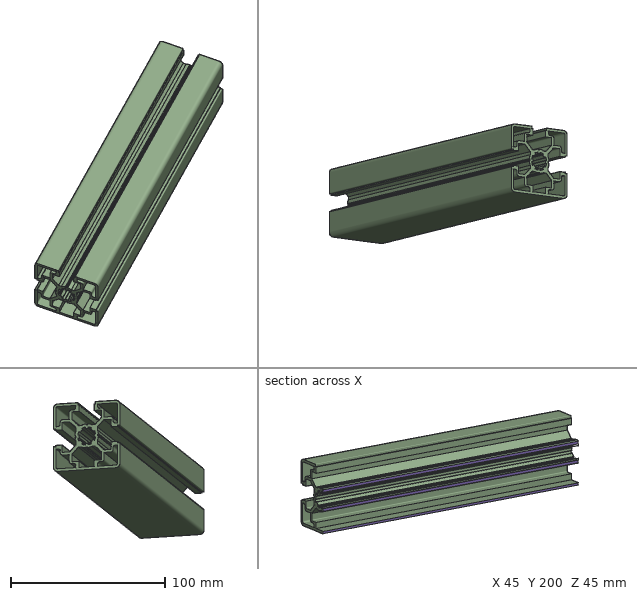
import cadquery as cq
import math

length = 200.0
width = 45.0
half = width / 2
corner_radius = 3.0

skin = 1.8
pocket_corner_radius = corner_radius - skin

mouth_half = 5.0
mouth_step = 0.8
mouth_edge_fillet = 0.5
step_depth = 1.5
lip_bottom = 16.5
lip_thickness = 2.5
slot_half = 10.0
slot_wall = 1.8
lip_floor_wall = 1.2
slot_fillet = 0.5
lip_fillet = 1.5
shoulder_fillet = 1.5
strut_thickness = 2.5

core_half = 7.2
core_round_radius = 8.0
groove_top_width = 1.8
groove_floor_width = 0.5
groove_depth = 0.5
bore_radius = 5.0
recess_radius = 6.0
axis_tooth_width = 2.0
corner_tooth_width = 2.5

pocket_outer = half - skin
pocket_lip = mouth_half + lip_thickness
pocket_floor = lip_bottom + lip_floor_wall
pocket_inner = slot_half + slot_wall


def prism(sketch):
    """Extrude an XZ profile over the full length, centred along Y."""
    return sketch.extrude(length / 2, both=True)


def plane():
    """Start a profile in the cross-section plane."""
    return cq.Workplane("XZ")


def quarter_turn(solid, quarters):
    """Turn a solid about the profile axis, taking +Z towards +X."""
    return solid.rotate((0, 0, 0), (0, 1, 0), 90 * quarters)


def fillet_at(solid, points, radius):
    """Fillet the lengthwise edges that pass through the given (x, z) points."""
    for x, z in points:
        solid = solid.edges(cq.selectors.NearestToPointSelector((x, 0, z))).fillet(radius)
    return solid


def corner_pocket():
    """Hollow chamber in the +X +Z corner."""
    pocket = prism(
        plane()
        .moveTo(pocket_outer, pocket_outer)
        .lineTo(pocket_lip, pocket_outer)
        .lineTo(pocket_lip, pocket_floor)
        .lineTo(pocket_inner, pocket_floor)
        .lineTo(pocket_inner, pocket_inner)
        .lineTo(pocket_floor, pocket_inner)
        .lineTo(pocket_floor, pocket_lip)
        .lineTo(pocket_outer, pocket_lip)
        .close()
    )
    pocket = fillet_at(pocket, [(pocket_outer, pocket_outer)], pocket_corner_radius)
    shoulders = [(pocket_inner, pocket_floor), (pocket_floor, pocket_inner)]
    pocket = fillet_at(pocket, shoulders, shoulder_fillet)
    lip_corners = [(pocket_lip, pocket_floor), (pocket_floor, pocket_lip)]
    return fillet_at(pocket, lip_corners, lip_fillet)


def slot_chamber():
    """Wide inner part of the +Z slot, bounded by the diagonal struts and the core."""
    strut_offset = strut_thickness / math.sqrt(2)
    strut_end = core_half - strut_offset
    chamber = prism(
        plane()
        .moveTo(-slot_half, lip_bottom)
        .lineTo(slot_half, lip_bottom)
        .lineTo(slot_half, slot_half + strut_offset)
        .lineTo(strut_end, core_half)
        .lineTo(-strut_end, core_half)
        .lineTo(-slot_half, slot_half + strut_offset)
        .close()
    )
    upper_corners = [(-slot_half, lip_bottom), (slot_half, lip_bottom)]
    return fillet_at(chamber, upper_corners, slot_fillet)


def slot_mouth(top):
    """Straight neck of the +Z slot from the chamber up to the given height."""
    depth = top - lip_bottom
    return prism(plane().center(0, lip_bottom + depth / 2).rect(2 * mouth_half, depth))


def mouth_rebate():
    """Shallow widening of the slot mouth at the outer face."""
    rebate_width = 2 * (mouth_half + mouth_step)
    return prism(plane().center(0, half - step_depth / 2).rect(rebate_width, step_depth))


def core_tube():
    """Round core with a small tapered groove facing each slot."""
    tube = prism(plane().circle(core_round_radius))
    groove_floor = core_round_radius - groove_depth
    groove = prism(
        plane()
        .moveTo(-groove_top_width / 2, core_round_radius)
        .lineTo(groove_top_width / 2, core_round_radius)
        .lineTo(groove_floor_width / 2, groove_floor)
        .lineTo(-groove_floor_width / 2, groove_floor)
        .close()
    )
    for quarter in range(4):
        tube = tube.cut(quarter_turn(groove, quarter))
    return tube


def core_bore():
    """Centre bore with recesses between eight evenly spaced teeth."""
    recess = prism(plane().circle(recess_radius))
    for tooth_width, angle in ((axis_tooth_width, 0), (corner_tooth_width, 45)):
        tooth = prism(plane().center(0, recess_radius).rect(tooth_width, recess_radius))
        tooth = tooth.rotate((0, 0, 0), (0, 1, 0), angle)
        for quarter in range(4):
            recess = recess.cut(quarter_turn(tooth, quarter))
    return recess.union(prism(plane().circle(bore_radius)))


result = prism(plane().rect(width, width)).edges("|Y").fillet(corner_radius)

for quarter in range(4):
    result = result.cut(quarter_turn(corner_pocket(), quarter))
    result = result.cut(quarter_turn(slot_chamber(), quarter))

open_slot = slot_mouth(half).union(mouth_rebate())
for quarter in (-1, 0, 1):
    result = result.cut(quarter_turn(open_slot, quarter))

mouth_edge = mouth_half + mouth_step
mouth_edges = [(-mouth_edge, half), (mouth_edge, half)]
mouth_edges += [(side * half, z) for side in (-1, 1) for z in (-mouth_edge, mouth_edge)]
result = fillet_at(result, mouth_edges, mouth_edge_fillet)

result = result.cut(quarter_turn(slot_mouth(pocket_outer), 2))

result = result.union(core_tube()).cut(core_bore())